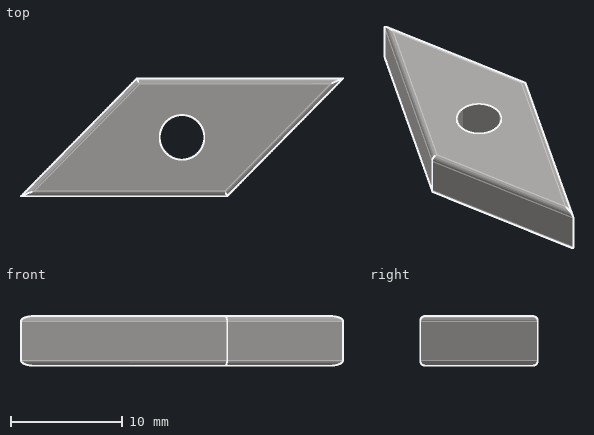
import cadquery as cq

length = 29.0
width = 10.6
thickness = 4.5

slant_shift = 10.45
hole_diameter = 4.0
edge_radius = 0.5

half_length = length / 2
half_width = width / 2
corners = [
    (-half_length, -half_width),
    (half_length - slant_shift, -half_width),
    (half_length, half_width),
    (-half_length + slant_shift, half_width),
]
plate = cq.Workplane("XY").polyline(corners).close().extrude(thickness / 2, both=True)

plate = plate.faces("|Z").edges().fillet(edge_radius)

result = plate.faces(">Z").workplane().hole(hole_diameter)